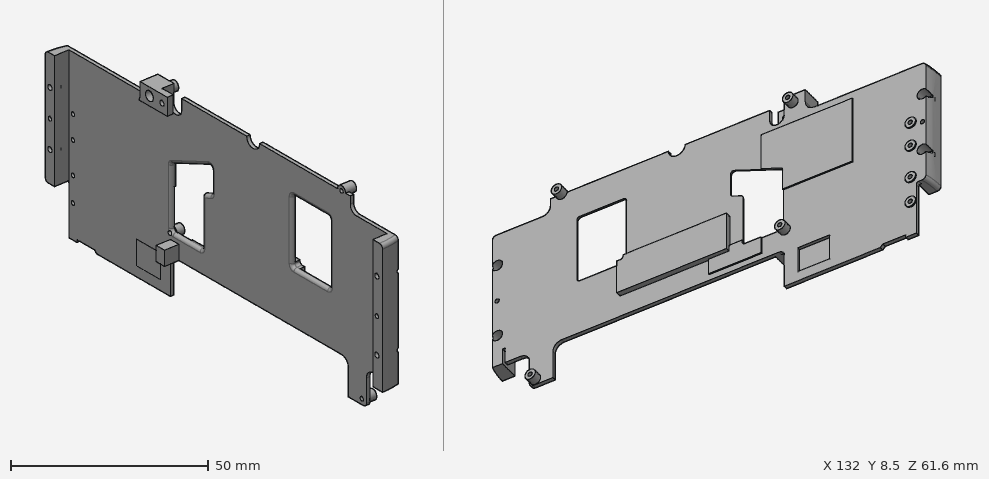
import cadquery as cq
import math

length = 132.0
height = 61.6
plate_front = 4.8
plate_thickness = 1.2
plate_back = plate_front + plate_thickness
pad_thickness = 0.4
pad_back = plate_back + pad_thickness
raised_thickness = 1.6
raised_back = plate_back + raised_thickness
pin_back = 8.5

left_rail_width = 3.7
right_rail_width = 3.8
right_rail_x = length - right_rail_width
lower_wing_end_x = 43.4
step_z = 11.9
side_top_z = 54.8
top_z = 59.5
right_step_x = 113.8
right_step_fillet = 2.4
lower_step_fillet = 1.6

left_rail_bottom_z = 16.6
rail_lean = 0.8
rail_corner_round = 1.2
rail_foot_fillet = 0.8
left_rail_hole_x = 1.8
right_rail_hole_inset = 2.2
right_rail_hole_x = length - right_rail_hole_inset
left_screw_levels = (26.7, 44.7)
right_screw_levels = (21.8, 44.7)
left_locating_level = 35.6
right_locating_level = 33.1
screw_hole = 1.6
screw_head = 3.2
screw_head_floor = 2.4
small_hole = 1.25

block_x = 37.1
block_end_x = 47.8
block_bottom_z = 56.1
block_fillet = 2.9
arm_x = 43.4
arm_thickness = 2.0
arm_hole_x = 45.7
block_hole_x = 40.8
block_hole_z = 59.0
block_counterbore = 3.0
block_counterbore_depth = 2.0

post_width = 3.3
post_height = 4.8

tab_x = 113.0
tab_end_x = 120.1
tab_bottom_z = 0.7
tab_root_fillet = 2.6
tab_corner_round = 1.2

top_notch_x = 75.8
top_notch_radius = 2.5
foot_notch_x = 6.9
foot_notch_width = 6.9
foot_notch_depth = 0.8
slit_width = 0.8
slit_height = 4.8

pin_diameter = 3.2
block_pin = (block_hole_x, block_hole_z)
ear_pin = (110.4, top_z)
window_pin = (43.2, 18.3)
tab_pin = (118.3, 2.4)
pins = (block_pin, ear_pin, window_pin, tab_pin)

boss_x = 5.3
boss_levels = (10.8, 18.9, 29.2, 36.7)
boss_diameter = 3.2

window_edge_fillet = 1.0
window_corner_round = 0.8
stepped_window = [(42.6, 17.8), (56.9, 17.8), (56.9, 34.5), (60.6, 35.9), (60.6, 46.6), (42.6, 39.3)]
square_window = [(89.9, 27.9), (106.8, 27.9), (106.8, 51.0), (89.9, 51.0)]

upper_pad = (22.7, 50.2, 31.7, 52.3)
lower_pad = (50.2, 66.0, 13.7, 20.3)
raised_area = (59.8, 92.8, 18.5, 30.1)
back_pocket = (29.8, 39.3, 3.0, 10.8)
pocket_wall = 0.3

probe = 0.1


def box(x0, x1, z0, z1, y0, y1):
    solid = cq.Workplane("XY").box(x1 - x0, y1 - y0, z1 - z0, centered=False)
    return solid.translate((x0, y0, z0))


def prism(outline, y0, y1):
    """Extrude a closed XZ outline from y0 to y1."""
    return outline.extrude(y0 - y1).translate((0, y0, 0))


def rod(center, diameter, y0, y1):
    return prism(cq.Workplane("XZ").center(*center).circle(diameter / 2), y0, y1)


def fillet_edges_at(body, x, z, radius, front=0):
    """Round the edges along Y that pass through (x, z) and have their middle behind `front`."""
    around = cq.selectors.BoxSelector((x - probe, front, z - probe), (x + probe, pin_back, z + probe))
    return body.edges("|Y").edges(around).fillet(radius)


def plate_prism(y0, y1):
    """Plate outline with the tab and with the root fillets, extruded from y0 to y1."""
    outline = cq.Workplane("XZ").polyline(
        [
            (left_rail_width, 0),
            (lower_wing_end_x, 0),
            (lower_wing_end_x, step_z),
            (tab_x, step_z),
            (tab_x, tab_bottom_z),
            (tab_end_x, tab_bottom_z),
            (tab_end_x, step_z),
            (right_rail_x, step_z),
            (right_rail_x, side_top_z),
            (right_step_x, side_top_z),
            (right_step_x, top_z),
            (block_end_x, top_z),
            (block_end_x, height),
            (block_x, height),
            (block_x, side_top_z),
            (left_rail_width, side_top_z),
        ]
    )
    body = prism(outline.close(), y0, y1)
    body = fillet_edges_at(body, lower_wing_end_x, step_z, lower_step_fillet)
    body = fillet_edges_at(body, tab_x, step_z, tab_root_fillet)
    body = fillet_edges_at(body, tab_end_x, step_z, tab_root_fillet)
    body = fillet_edges_at(body, tab_end_x, tab_bottom_z, tab_corner_round)
    body = fillet_edges_at(body, right_step_x, side_top_z, right_step_fillet)
    return fillet_edges_at(body, block_x, side_top_z, block_fillet)


def rail(width, bottom_z, rounded_ends):
    """Rail with its outer side at X = 0, leaning inwards along an arc towards the back."""
    lean_radius = (plate_back**2 + rail_lean**2) / (2 * rail_lean)
    mid_y = plate_back / 2
    mid_x = lean_radius - math.sqrt(lean_radius**2 - mid_y**2)
    body = (
        cq.Workplane("XY", origin=(0, 0, bottom_z))
        .lineTo(width, 0)
        .lineTo(width, plate_back)
        .lineTo(rail_lean, plate_back)
        .threePointArc((mid_x, mid_y), (0, 0))
        .close()
        .extrude(side_top_z - bottom_z)
    )
    return body.faces("<X").edges(rounded_ends).fillet(rail_corner_round)


def mounting_block():
    """Block in front of the plate, following its outline, with the thin arm on its right."""
    region = box(0, arm_x, block_bottom_z, height, 0, plate_front)
    arm = box(arm_x, block_end_x, block_bottom_z, height, 0, arm_thickness)
    return plate_prism(0, plate_front).intersect(region).union(arm)


def arm_clearance():
    """Round-ended slot through the plate behind the arm."""
    width = block_end_x - arm_x
    slot = box(arm_x, block_end_x, block_bottom_z, height, plate_front, plate_back)
    return slot.union(rod((arm_x + width / 2, block_bottom_z), width, plate_front, plate_back))


def foot_notch():
    """Shallow notch in the lower left edge with a slanted right end."""
    end_x = foot_notch_x + foot_notch_width
    outline = cq.Workplane("XZ").polyline(
        [
            (foot_notch_x, 0),
            (end_x + foot_notch_depth, 0),
            (end_x, foot_notch_depth),
            (foot_notch_x, foot_notch_depth),
        ]
    )
    return prism(outline.close(), plate_front, plate_back)


def window_cutter(corners):
    """Window with rounded corners and a front edge that flares out in a quarter round."""
    opening = cq.Workplane("XZ").polyline(corners).close().offset2D(-window_edge_fillet)
    through = prism(opening, plate_front, pin_back).edges("|Y").fillet(window_corner_round)

    rim = cq.Workplane("XZ").polyline(corners).close().offset2D(2 * window_edge_fillet)
    slab = prism(rim, plate_front, plate_back)
    front = slab.cut(through).faces("<Y")
    rounded = front.newObject(front.val().innerWires()).edges().fillet(window_edge_fillet)
    return through.union(slab.cut(rounded))


def screw_cutter(center):
    """Through hole with a head recess that opens to the back."""
    shank = rod(center, screw_hole, 0, plate_back)
    return shank.union(rod(center, screw_head, screw_head_floor, plate_back))


part = plate_prism(plate_front, plate_back)
part = part.union(rail(left_rail_width, left_rail_bottom_z, "<Z or >Z"))
right_rail = rail(right_rail_width, step_z, ">Z").mirror("YZ").translate((length, 0, 0))
part = part.union(right_rail)
part = fillet_edges_at(part, left_rail_width, left_rail_bottom_z, rail_foot_fillet, plate_front)

post_end_x = lower_wing_end_x + post_width
part = part.union(mounting_block())
part = part.union(box(lower_wing_end_x, post_end_x, step_z, step_z + post_height, 0, plate_front))

part = part.union(rod(ear_pin, pin_diameter, plate_front, plate_back))

part = part.cut(arm_clearance())
part = part.cut(rod((top_notch_x, top_z), 2 * top_notch_radius, plate_front, plate_back))
part = part.cut(foot_notch())
slit_x = right_rail_x - slit_width
part = part.cut(box(slit_x, right_rail_x, step_z, step_z + slit_height, plate_front, plate_back))

part = part.union(box(*upper_pad, plate_back, pad_back))
part = part.union(box(*lower_pad, plate_back, pad_back))
part = part.union(box(*raised_area, plate_back, raised_back))
part = part.cut(box(*back_pocket, plate_front + pocket_wall, plate_back))

part = part.cut(window_cutter(stepped_window))
part = part.cut(window_cutter(square_window))

for level in boss_levels:
    part = part.union(rod((boss_x, level), boss_diameter, plate_back, pad_back))
    part = part.cut(rod((boss_x, level), small_hole, plate_front, pad_back))

for pin in pins:
    part = part.union(rod(pin, pin_diameter, plate_back, pin_back))
    part = part.cut(rod(pin, small_hole, 0, pin_back))

part = part.cut(rod(block_pin, block_counterbore, 0, block_counterbore_depth))
part = part.cut(rod((arm_hole_x, block_hole_z), screw_hole, 0, arm_thickness))

for hole_x, screw_levels, locating_level in (
    (left_rail_hole_x, left_screw_levels, left_locating_level),
    (right_rail_hole_x, right_screw_levels, right_locating_level),
):
    for level in screw_levels:
        part = part.cut(screw_cutter((hole_x, level)))
    part = part.cut(rod((hole_x, locating_level), small_hole, 0, plate_back))

result = part